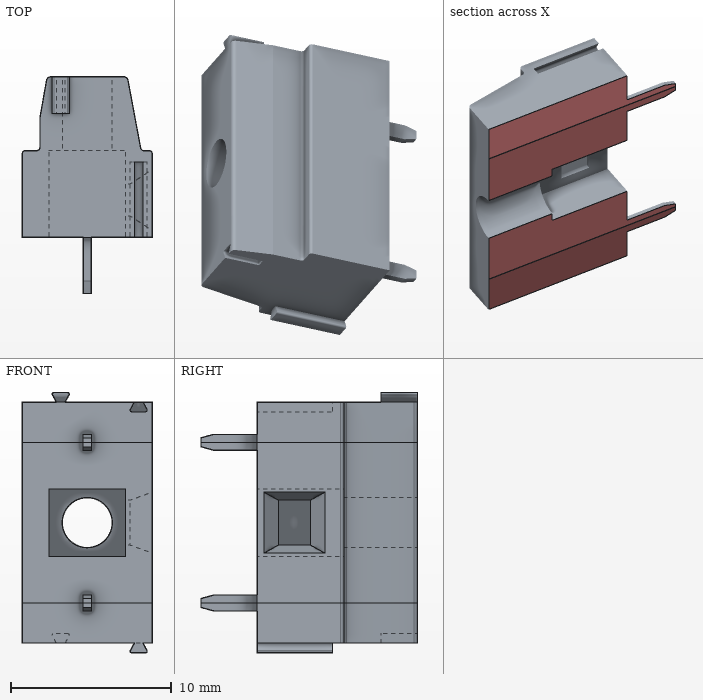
import cadquery as cq

WIDTH = 8.1
HEIGHT = 10.0
SHOULDER_HEIGHT = 5.4
NECK_LEFT_X = -2.95
NECK_TOP_HEIGHT = 7.45
NECK_RIGHT_X = 3.36
TOP_HALF_WIDTH = 2.5
TOP_RADIUS = 0.3
SHOULDER_RADIUS = 0.2

PIN_PITCH = 10.0
BODY_LENGTH = 15.0
SEAM_Z = PIN_PITCH / 2
END_Z = BODY_LENGTH / 2

PIN_THICKNESS = 0.5
PIN_WIDTH = 1.0
PIN_LENGTH = 3.5
PIN_TIP_WIDTH = 0.56
PIN_TIP_LENGTH = 0.8

POCKET_WIDTH = 4.75
POCKET_HEIGHT = 4.2
POCKET_DEPTH = SHOULDER_HEIGHT
SCREW_HOLE_DIAMETER = 3.1
ENTRY_HEIGHT = 2.8
ENTRY_START_Y = 1.325
ENTRY_DEPTH = 2.0
ENTRY_THROAT_LENGTH = 0.3
ENTRY_MOUTH_SIZE = 3.8

DOVETAIL_HEIGHT = 0.6
DOVETAIL_ROOT_WIDTH = 0.55
DOVETAIL_WIDTH = 1.2
DOVETAIL_EDGE_RADIUS = 0.1
REAR_DOVETAIL_X = -1.65
REAR_DOVETAIL_SPAN = (7.7, HEIGHT)
FRONT_DOVETAIL_X = 3.2
FRONT_DOVETAIL_SPAN = (0.0, 4.7)


def housing_slab(z_start, z_end):
    """Stretch of the plain housing between two heights."""
    half_width = WIDTH / 2
    outline = [
        (-half_width, 0),
        (half_width, 0),
        (half_width, SHOULDER_HEIGHT),
        (NECK_RIGHT_X, SHOULDER_HEIGHT),
        (TOP_HALF_WIDTH, HEIGHT),
        (-TOP_HALF_WIDTH, HEIGHT),
        (NECK_LEFT_X, NECK_TOP_HEIGHT),
        (NECK_LEFT_X, SHOULDER_HEIGHT),
        (-half_width, SHOULDER_HEIGHT),
    ]
    slab = cq.Workplane("XY").workplane(offset=z_start).polyline(outline).close().extrude(z_end - z_start)
    top_edges = cq.selectors.BoxSelector(
        (-half_width, HEIGHT - TOP_RADIUS, z_start), (half_width, HEIGHT + TOP_RADIUS, z_end)
    )
    shoulder_edges = cq.selectors.BoxSelector(
        (-WIDTH, SHOULDER_HEIGHT - SHOULDER_RADIUS, z_start), (WIDTH, SHOULDER_HEIGHT + SHOULDER_RADIUS, z_end)
    )
    slab = slab.edges("|Z").edges(top_edges).fillet(TOP_RADIUS)
    return slab.edges("|Z").edges(shoulder_edges).fillet(SHOULDER_RADIUS)


def half_pin(seam_z, side):
    """Half of a tapered pin; side is +1 for the half above the seam and -1 for the half below."""
    outline = [
        (0, seam_z),
        (0, seam_z + side * PIN_WIDTH / 2),
        (PIN_TIP_LENGTH - PIN_LENGTH, seam_z + side * PIN_WIDTH / 2),
        (-PIN_LENGTH, seam_z + side * PIN_TIP_WIDTH / 2),
        (-PIN_LENGTH, seam_z),
    ]
    return cq.Workplane("YZ").polyline(outline).close().extrude(PIN_THICKNESS / 2, both=True)


def dovetail(x, span, root_z, direction):
    """Dovetail bar along Y that widens from root_z in the given Z direction."""
    y_start, y_end = span
    wide_z = root_z + direction * DOVETAIL_HEIGHT
    outline = [
        (x - DOVETAIL_ROOT_WIDTH / 2, root_z),
        (x + DOVETAIL_ROOT_WIDTH / 2, root_z),
        (x + DOVETAIL_WIDTH / 2, wide_z),
        (x - DOVETAIL_WIDTH / 2, wide_z),
    ]
    bar = cq.Workplane("XZ", origin=(0, y_end, 0)).polyline(outline).close().extrude(y_end - y_start)
    wide_face = ">Z" if direction > 0 else "<Z"
    return bar.faces(wide_face).edges("|Y").fillet(DOVETAIL_EDGE_RADIUS)


def wire_entry():
    """Rectangular passage from the pocket to the +X side, flared to a square mouth."""
    middle_y = ENTRY_START_Y + ENTRY_DEPTH / 2
    flare_x = POCKET_WIDTH / 2 + ENTRY_THROAT_LENGTH
    throat = cq.Workplane("YZ", origin=(0, middle_y, 0)).rect(ENTRY_DEPTH, ENTRY_HEIGHT).extrude(flare_x)
    flare = (
        cq.Workplane("YZ", origin=(flare_x, middle_y, 0))
        .rect(ENTRY_DEPTH, ENTRY_HEIGHT)
        .workplane(offset=WIDTH / 2 - flare_x)
        .rect(ENTRY_MOUTH_SIZE, ENTRY_MOUTH_SIZE)
        .loft(ruled=True)
    )
    return throat.union(flare)


def middle_piece():
    """Middle of the block: clamp pocket, screw hole, wire entry and the inner half of each pin."""
    piece = housing_slab(-SEAM_Z, SEAM_Z)
    pocket = cq.Workplane("XY").box(
        POCKET_WIDTH, POCKET_DEPTH, POCKET_HEIGHT, centered=(True, False, True)
    )
    screw_hole = cq.Workplane("XZ").circle(SCREW_HOLE_DIAMETER / 2).extrude(-HEIGHT)
    piece = piece.cut(pocket).cut(screw_hole).cut(wire_entry())
    for side in (1, -1):
        piece = piece.union(half_pin(side * SEAM_Z, -side))
    return piece


def end_piece(side, key_x, key_span, groove_x, groove_span):
    """End of the block with the outer half of a pin, a dovetail key and a matching groove."""
    z_start, z_end = sorted((side * SEAM_Z, side * END_Z))
    key = dovetail(key_x, key_span, side * END_Z, side)
    groove = dovetail(groove_x, groove_span, side * END_Z, -side)
    return housing_slab(z_start, z_end).cut(groove).union(key).union(half_pin(side * SEAM_Z, side))


upper_end = end_piece(1, REAR_DOVETAIL_X, REAR_DOVETAIL_SPAN, FRONT_DOVETAIL_X, FRONT_DOVETAIL_SPAN)
lower_end = end_piece(-1, FRONT_DOVETAIL_X, FRONT_DOVETAIL_SPAN, REAR_DOVETAIL_X, REAR_DOVETAIL_SPAN)
middle = middle_piece()

result = cq.Compound.makeCompound([upper_end.val(), middle.val(), lower_end.val()])